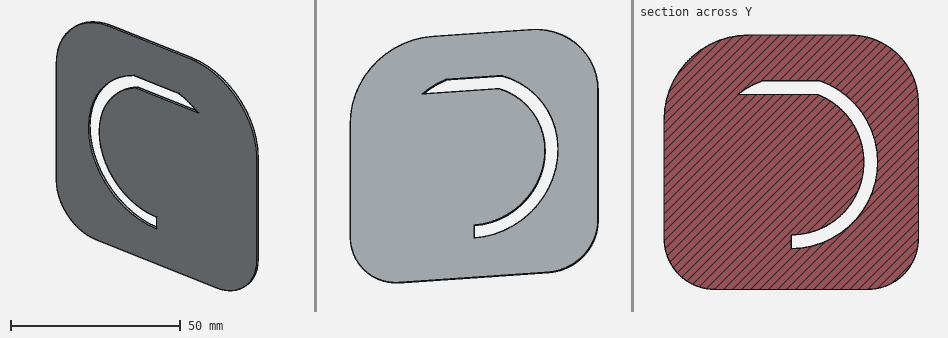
import cadquery as cq
import math

side = 75.0
thickness = 0.8
top_left_radius = 20.0
top_right_radius = 25.0
bottom_radius = 15.0

slot_outer_radius = 25.4
slot_width = 4.0
slot_inner_radius = slot_outer_radius - slot_width
slot_floor_height = 20.0
slot_top_height = slot_floor_height + slot_width


def half_chord(radius, height):
    """Half the width of a circle at a given height above its centre."""
    return math.sqrt(radius**2 - height**2)


def on_circle(radius, degrees):
    angle = math.radians(degrees)
    return (radius * math.cos(angle), radius * math.sin(angle))


def make_plate():
    plate = cq.Workplane("XY").box(side, thickness, side)
    plate = plate.edges("|Y and <X and >Z").fillet(top_left_radius)
    plate = plate.edges("|Y and >X and >Z").fillet(top_right_radius)
    return plate.edges("|Y and <Z").fillet(bottom_radius)


def make_slot():
    top_half = half_chord(slot_outer_radius, slot_top_height)
    tip_x = half_chord(slot_outer_radius, slot_floor_height)
    inner_half = half_chord(slot_inner_radius, slot_floor_height)
    tip_mid_angle = math.degrees(
        math.asin(slot_top_height / slot_outer_radius)
        + math.asin(slot_floor_height / slot_outer_radius)
    ) / 2
    left_angle = 180

    return (
        cq.Workplane("XZ")
        .moveTo(0, -slot_outer_radius)
        .threePointArc(on_circle(slot_outer_radius, left_angle), (-top_half, slot_top_height))
        .lineTo(top_half, slot_top_height)
        .threePointArc(on_circle(slot_outer_radius, tip_mid_angle), (tip_x, slot_floor_height))
        .lineTo(-inner_half, slot_floor_height)
        .threePointArc(on_circle(slot_inner_radius, left_angle), (0, -slot_inner_radius))
        .close()
        .extrude(thickness, both=True)
    )


result = make_plate().cut(make_slot())